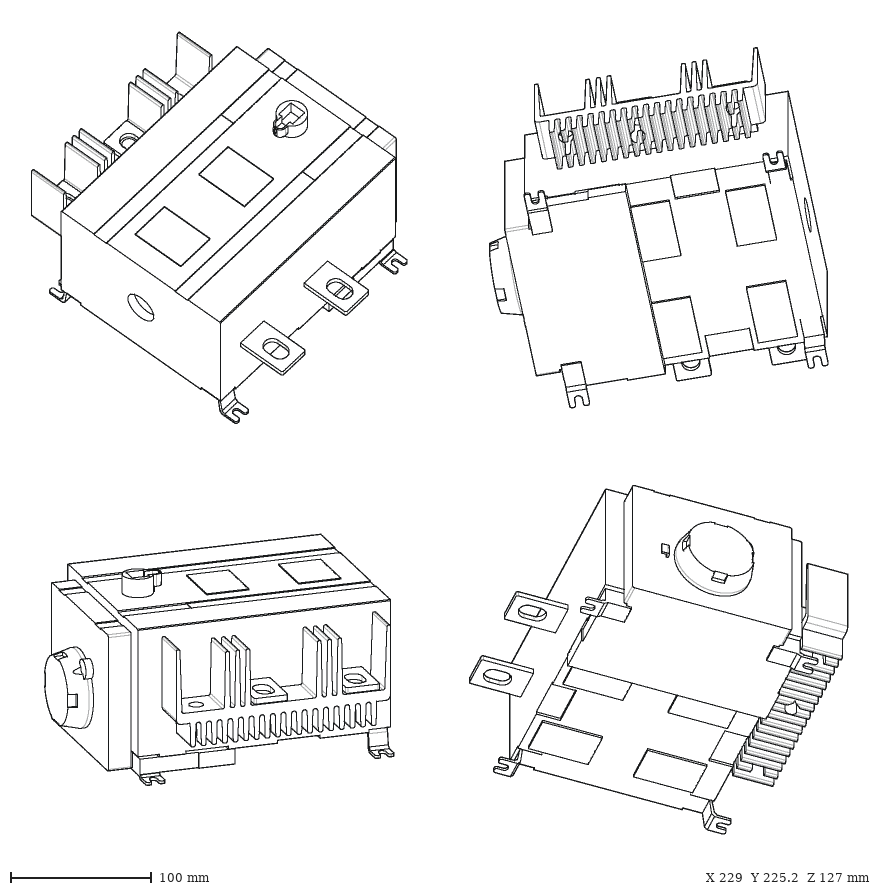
import cadquery as cq
import math


BODY_WIDTH = 149.2
BODY_LENGTH = 190.2
BODY_BOTTOM = 15.2
BODY_TOP = 113.2
BODY_EDGE_CHAMFER = 0.7
SHAFT_HOLE_DIAMETER = 24.2
SHAFT_HOLE_HEIGHT = 63.5
SHAFT_HOLE_DEPTH = 7.0

GROOVE_INNER_X = 32.2
GROOVE_OUTER_X = 44.0
GROOVE_DEPTH = 0.8
GROOVE_STEP_DEPTH = 0.3
GROOVE_STEP_Y = 138.3

PAD_WIDTH = 42.8
PAD_LENGTH = 31.8
PAD_HEIGHT = 0.8

HOUSING_WIDTH = 121.0
HOUSING_LENGTH = 17.2
HOUSING_BOTTOM = 3.6
HOUSING_TOP = 106.0
HOUSING_EDGE_RADIUS = 1.6
HOUSING_BACK = BODY_LENGTH + HOUSING_LENGTH

BASE_BOTTOM = HOUSING_BOTTOM
BASE_WIDTH = 148.0
BASE_FRONT = 117.2
BASE_BACK = 188.4
BASE_NECK_WIDTH = 116.0
WIDE_BASE_WIDTH = 150.6
WIDE_BASE_LENGTH = 27.2

NOTCH_SPANS = ((0, 16.2), (53.0, 85.0), (122.0, 154.0), (174.0, BODY_LENGTH))
NOTCH_HEIGHT = 2.2
NOTCH_DEPTH = 18.2
UNDER_PAD_SPANS = ((-56.6, -11.6), (22.8, 68.2))
UNDER_PAD_LENGTH = 28.5
UNDER_PAD_HEIGHT = 1.8

FOOT_TIP_X = 88.0
FOOT_WIDTH = 14.4
FOOT_THICKNESS = 2.2
FOOT_SLOT_WIDTH = 5.6
FOOT_SLOT_DEPTH = 8.8
FOOT_TIP_RADIUS = 1.8
FRONT_FOOT_Y = 8.9
REAR_FOOT_Y = 181.2
FRONT_FLANGE_X = 56.4
LEG_TOP_X = 73.2
LEG_BOTTOM_X = 74.8
LEG_BEND = 1.4
REAR_TAB_X = 54.0
REAR_TAB_THICKNESS = 1.7
REAR_BEND = 3.0

POLE_PITCH = 69.1
FRONT_POLE_Y = 34.5
POLE_POSITIONS = (FRONT_POLE_Y, FRONT_POLE_Y + POLE_PITCH)
BAR_TIP_X = 113.8
BAR_WIDTH = 25.4
BAR_THICKNESS = 4.3
BAR_CORNER_RADIUS = 1.4
BAR_BOTTOM = 61.2
BAR_SLOT_X = 97.0
BAR_SLOT_LENGTH = 20.4
BAR_SLOT_WIDTH = 13.0

SHROUD_OUTER_X = -115.2
SHROUD_DEPTH = 30.4
SHROUD_MIDDLE_Y = 95.0
SHROUD_LENGTH = 161.0
SHROUD_FLOOR_BOTTOM = 53.1
SHROUD_CORNER_RADIUS = 3.5
BOLT_HOLE_X = -100.4
BOLT_HOLE_DIAMETER = 10.4
REAR_BOLT_HOLE_Y = 155.5
WALL_TOP = 109.4
END_WALL_ROOT = 4.2
END_WALL_TIP = 2.6
END_WALL_TIP_RADIUS = 1.0
BARRIER_TOP = 104.0
BARRIER_ROOT = 4.5
BARRIER_TIP = 2.8
BARRIER_TIP_RADIUS = 1.3
BARRIER_PITCH = 7.7
BARRIERS_PER_GROUP = 3
BARRIER_GROUP_OFFSET = 25.8
WALL_ROOT_RADIUS = 1.5
RIB_COUNT = 18
RIB_PITCH = 8.0
RIB_ROOT = 4.4
RIB_TIP = 3.4
RIB_BOTTOM = 35.2
RIB_TIP_RADIUS = 1.3
RIB_ROOT_RADIUS = 1.7

KNOB_HEIGHT_Z = 46.8
KNOB_BACK = 225.2
KNOB_BASE_DIAMETER = 57.8
KNOB_FACE_DIAMETER = 50.6
KNOB_BASE_LENGTH = 3.2
KNOB_NOTCH_WIDTH = 9.8
KNOB_NOTCH_LENGTH = 6.6
KNOB_NOTCH_DEPTH = 1.6
KNOB_BOSS_DIAMETER = 14.4
KNOB_BOSS_LENGTH = 5.6
KNOB_BOSS_OFFSET = 30.4
KNOB_CLEARANCE_DIAMETER = 7.2

HOOK_FOOT_X = 33.6
HOOK_REACH = 6.0
HOOK_LENGTH = 4.2
HOOK_THICKNESS = 1.6
HOOK_WIDTH = 8.0

SOCKET_Y = 163.9
SOCKET_DIAMETER = 22.4
SOCKET_TOP = 127.0
SOCKET_SQUARE = 13.0
SOCKET_SQUARE_DEPTH = 11.0
POINTER_RADIUS = 5.0
POINTER_TIP_Y = 146.4
POINTER_BOTTOM = 118.0
POINTER_SLOT_WIDTH = 7.6
POINTER_SLOT_DEPTH = 8.0
POINTER_WALL = 1.2
POINTER_SLIT_WIDTH = 2.0
POINTER_RIB_WIDTH = 4.6
POINTER_RIB_REACH = 12.0


def block(x_span, y_span, z_span):
    """Box between the given limits along each axis."""
    size = [span[1] - span[0] for span in (x_span, y_span, z_span)]
    corner = (x_span[0], y_span[0], z_span[0])
    return cq.Workplane("XY").box(*size, centered=False).translate(corner)


def centered_span(middle, size):
    return (middle - size / 2, middle + size / 2)


def mirrored_pair(solid):
    """The solid together with its mirror image across the middle plane."""
    return solid.union(solid.mirror("YZ"))


def extrude_along_y(points, y_span):
    """Prism along Y with an outline given in X and Z."""
    plane = cq.Workplane("XZ", origin=(0, y_span[0], 0))
    return plane.polyline(points).close().extrude(y_span[0] - y_span[1])


def groove_pair(y_span, top, depth):
    """Cutter for the two shallow grooves in a top face at the given height."""
    return mirrored_pair(block((GROOVE_INNER_X, GROOVE_OUTER_X), y_span, (top - depth, top)))


def make_body():
    body = block(
        centered_span(0, BODY_WIDTH), (0, BODY_LENGTH), (BODY_BOTTOM, BODY_TOP)
    )
    body = body.faces(">Z").edges("|Y").chamfer(BODY_EDGE_CHAMFER)
    body = body.cut(groove_pair((0, GROOVE_STEP_Y), BODY_TOP, GROOVE_DEPTH))
    rear_depth = GROOVE_DEPTH + GROOVE_STEP_DEPTH
    body = body.cut(groove_pair((GROOVE_STEP_Y, BODY_LENGTH), BODY_TOP, rear_depth))
    shaft_hole = (
        cq.Workplane("XZ", origin=(0, 0, SHAFT_HOLE_HEIGHT))
        .circle(SHAFT_HOLE_DIAMETER / 2)
        .extrude(-SHAFT_HOLE_DEPTH)
    )
    body = body.cut(shaft_hole)
    side = BODY_WIDTH / 2
    for span in NOTCH_SPANS:
        notch = block(
            (side - NOTCH_DEPTH, side), span, (BODY_BOTTOM, BODY_BOTTOM + NOTCH_HEIGHT)
        )
        body = body.cut(mirrored_pair(notch))
    for pole_y in POLE_POSITIONS:
        body = body.union(make_pads(pole_y))
    return body


def make_pads(pole_y):
    """Label pad on the top and two flat pads underneath, all belonging to one pole."""
    pads = block(
        centered_span(0, PAD_WIDTH),
        centered_span(pole_y, PAD_LENGTH),
        (BODY_TOP, BODY_TOP + PAD_HEIGHT),
    )
    for span in UNDER_PAD_SPANS:
        under_pad = block(
            span,
            centered_span(pole_y, UNDER_PAD_LENGTH),
            (BODY_BOTTOM - UNDER_PAD_HEIGHT, BODY_BOTTOM),
        )
        pads = pads.union(under_pad)
    return pads


def make_housing():
    housing = block(
        centered_span(0, HOUSING_WIDTH),
        (BODY_LENGTH, HOUSING_BACK),
        (HOUSING_BOTTOM, HOUSING_TOP),
    )
    housing = housing.edges("|Y").fillet(HOUSING_EDGE_RADIUS)
    grooves = groove_pair((BODY_LENGTH, HOUSING_BACK), HOUSING_TOP, GROOVE_DEPTH)
    return housing.cut(grooves)


def make_base():
    heights = (BASE_BOTTOM, BODY_BOTTOM)
    base = block(centered_span(0, BASE_WIDTH), (BASE_FRONT, BASE_BACK), heights)
    base = base.union(
        block(centered_span(0, BASE_NECK_WIDTH), (BASE_FRONT, BODY_LENGTH), heights)
    )
    wide_span = (BASE_FRONT, BASE_FRONT + WIDE_BASE_LENGTH)
    return base.union(block(centered_span(0, WIDE_BASE_WIDTH), wide_span, heights))


def slotted_foot(profile, middle_y):
    """Bent strip on the +X side with an open slot in its tip."""
    foot = extrude_along_y(profile, centered_span(middle_y, FOOT_WIDTH))
    slot_radius = FOOT_SLOT_WIDTH / 2
    slot_end_x = FOOT_TIP_X - FOOT_SLOT_DEPTH + slot_radius
    slot = block(
        (slot_end_x, FOOT_TIP_X),
        centered_span(middle_y, FOOT_SLOT_WIDTH),
        (0, FOOT_THICKNESS),
    )
    slot_end = (
        cq.Workplane("XY")
        .center(slot_end_x, middle_y)
        .circle(slot_radius)
        .extrude(FOOT_THICKNESS)
    )
    foot = foot.cut(slot).cut(slot_end)
    return foot.faces(">X").edges("|Z").fillet(FOOT_TIP_RADIUS)


def make_front_feet():
    """Flange under the body, leaning leg and foot."""
    flange_top = BODY_BOTTOM + NOTCH_HEIGHT
    profile = [
        (FRONT_FLANGE_X, BODY_BOTTOM),
        (LEG_TOP_X - FOOT_THICKNESS, BODY_BOTTOM),
        (LEG_BOTTOM_X - FOOT_THICKNESS, FOOT_THICKNESS),
        (LEG_BOTTOM_X, 0),
        (FOOT_TIP_X, 0),
        (FOOT_TIP_X, FOOT_THICKNESS),
        (LEG_BOTTOM_X + FOOT_THICKNESS, FOOT_THICKNESS),
        (LEG_BOTTOM_X, FOOT_THICKNESS * 2),
        (LEG_TOP_X, BODY_BOTTOM - LEG_BEND),
        (LEG_TOP_X - LEG_BEND, flange_top),
        (FRONT_FLANGE_X, flange_top),
    ]
    return mirrored_pair(slotted_foot(profile, FRONT_FOOT_Y))


def make_rear_feet():
    """Cranked strip whose inner end lies flat under the base."""
    tab_bottom = BASE_BOTTOM - REAR_TAB_THICKNESS
    bend_x = LEG_BOTTOM_X - REAR_BEND
    profile = [
        (REAR_TAB_X, tab_bottom),
        (bend_x, tab_bottom),
        (LEG_BOTTOM_X, 0),
        (FOOT_TIP_X, 0),
        (FOOT_TIP_X, FOOT_THICKNESS),
        (LEG_BOTTOM_X + FOOT_THICKNESS, FOOT_THICKNESS),
        (LEG_BOTTOM_X, BASE_BOTTOM),
        (REAR_TAB_X, BASE_BOTTOM),
    ]
    return mirrored_pair(slotted_foot(profile, REAR_FOOT_Y))


def make_terminal_bars():
    """One slotted bar per pole, running right across the body."""
    bars = cq.Workplane("XY")
    for pole_y in POLE_POSITIONS:
        bar = (
            cq.Workplane("XY", origin=(0, pole_y, BAR_BOTTOM))
            .rect(2 * BAR_TIP_X, BAR_WIDTH)
            .extrude(BAR_THICKNESS)
            .faces(">Z")
            .workplane(origin=(0, pole_y, 0))
            .pushPoints([(-BAR_SLOT_X, 0), (BAR_SLOT_X, 0)])
            .slot2D(BAR_SLOT_LENGTH, BAR_SLOT_WIDTH)
            .cutThruAll()
            .edges("|Z and (<X or >X)")
            .fillet(BAR_CORNER_RADIUS)
        )
        bars = bars.add(bar)
    return bars.combine()


def tapered_wall(root_span, tip_span, root_z, tip_z):
    """Wall of the shroud that narrows from its root to its tip."""
    points = [
        (root_span[0], root_z),
        (root_span[1], root_z),
        (tip_span[1], tip_z),
        (tip_span[0], tip_z),
    ]
    plane = cq.Workplane("YZ", origin=(SHROUD_OUTER_X, 0, 0))
    return plane.polyline(points).close().extrude(SHROUD_DEPTH)


def root_edges(height, row_length):
    """Selector for the edges where walls or ribs meet the shroud floor at one height."""
    middle = (SHROUD_OUTER_X + SHROUD_DEPTH / 2, SHROUD_MIDDLE_Y, height)
    margin = 0.1
    reach = (margin, row_length / 2, margin)
    low_corner = tuple(center - half for center, half in zip(middle, reach))
    high_corner = tuple(center + half for center, half in zip(middle, reach))
    return cq.selectors.BoxSelector(low_corner, high_corner)


def make_shroud():
    shroud = block(
        (SHROUD_OUTER_X, SHROUD_OUTER_X + SHROUD_DEPTH),
        centered_span(SHROUD_MIDDLE_Y, SHROUD_LENGTH),
        (SHROUD_FLOOR_BOTTOM, BAR_BOTTOM),
    )
    shroud = shroud.faces("<Z").edges("|X").fillet(SHROUD_CORNER_RADIUS)

    front = SHROUD_MIDDLE_Y - SHROUD_LENGTH / 2
    end_wall = tapered_wall(
        (front, front + END_WALL_ROOT),
        (front, front + END_WALL_TIP),
        BAR_BOTTOM,
        WALL_TOP,
    )
    end_wall = end_wall.faces(">Z").edges("|X").fillet(END_WALL_TIP_RADIUS)
    opposite_wall = end_wall.mirror("XZ", (0, SHROUD_MIDDLE_Y, 0))
    shroud = shroud.union(end_wall).union(opposite_wall)

    middle_barrier = (BARRIERS_PER_GROUP - 1) / 2
    for pole_y in POLE_POSITIONS:
        for index in range(BARRIERS_PER_GROUP):
            barrier_y = (
                pole_y + BARRIER_GROUP_OFFSET + (index - middle_barrier) * BARRIER_PITCH
            )
            barrier = tapered_wall(
                centered_span(barrier_y, BARRIER_ROOT),
                centered_span(barrier_y, BARRIER_TIP),
                BAR_BOTTOM,
                BARRIER_TOP,
            )
            shroud = shroud.union(barrier.faces(">Z").edges("|X").fillet(BARRIER_TIP_RADIUS))

    for index in range(RIB_COUNT):
        rib_y = SHROUD_MIDDLE_Y + (index - (RIB_COUNT - 1) / 2) * RIB_PITCH
        rib = tapered_wall(
            centered_span(rib_y, RIB_ROOT),
            centered_span(rib_y, RIB_TIP),
            SHROUD_FLOOR_BOTTOM,
            RIB_BOTTOM,
        )
        shroud = shroud.union(rib.faces("<Z").edges("|X").fillet(RIB_TIP_RADIUS))

    wall_row_length = SHROUD_LENGTH - END_WALL_ROOT
    shroud = shroud.edges(root_edges(BAR_BOTTOM, wall_row_length)).fillet(WALL_ROOT_RADIUS)
    rib_row_length = (RIB_COUNT - 1) * RIB_PITCH
    shroud = shroud.edges(root_edges(SHROUD_FLOOR_BOTTOM, rib_row_length)).fillet(RIB_ROOT_RADIUS)

    bolt_holes = (
        cq.Workplane("XY", origin=(BOLT_HOLE_X, 0, RIB_BOTTOM))
        .pushPoints([(0, hole_y) for hole_y in (*POLE_POSITIONS, REAR_BOLT_HOLE_Y)])
        .circle(BOLT_HOLE_DIAMETER / 2)
        .extrude(BAR_BOTTOM - RIB_BOTTOM)
    )
    return shroud.cut(bolt_holes)


def make_knob():
    base_radius = KNOB_BASE_DIAMETER / 2
    face_radius = KNOB_FACE_DIAMETER / 2
    cone_start = HOUSING_BACK + KNOB_BASE_LENGTH
    half_section = [
        (0, HOUSING_BACK),
        (base_radius, HOUSING_BACK),
        (base_radius, cone_start),
        (face_radius, KNOB_BACK),
        (0, KNOB_BACK),
    ]
    knob = (
        cq.Workplane("XY", origin=(0, 0, KNOB_HEIGHT_Z))
        .polyline(half_section)
        .close()
        .revolve(360, (0, 0, 0), (0, 1, 0))
    )
    notch = block(
        centered_span(0, KNOB_NOTCH_WIDTH),
        (KNOB_BACK - KNOB_NOTCH_LENGTH, KNOB_BACK),
        (KNOB_HEIGHT_Z + face_radius - KNOB_NOTCH_DEPTH, KNOB_HEIGHT_Z + base_radius),
    )
    axis_start = (0, 0, KNOB_HEIGHT_Z)
    axis_end = (0, 1, KNOB_HEIGHT_Z)
    for angle in (0, 90, 180, 270):
        knob = knob.cut(notch.rotate(axis_start, axis_end, angle))
    boss_shift = KNOB_BOSS_OFFSET * math.sqrt(0.5)
    boss_plane = cq.Workplane(
        "XZ", origin=(-boss_shift, HOUSING_BACK, KNOB_HEIGHT_Z + boss_shift)
    )
    clearance = boss_plane.circle(KNOB_CLEARANCE_DIAMETER / 2).extrude(HOUSING_BACK - KNOB_BACK)
    boss = boss_plane.circle(KNOB_BOSS_DIAMETER / 2).extrude(-KNOB_BOSS_LENGTH)
    return knob.cut(clearance).union(boss)


def make_hook():
    """L-shaped hook standing on the back of the housing."""
    z_span = centered_span(KNOB_HEIGHT_Z, HOOK_WIDTH)
    tip_y = HOUSING_BACK + HOOK_LENGTH
    stem = block((HOOK_FOOT_X, HOOK_FOOT_X + HOOK_THICKNESS), (HOUSING_BACK, tip_y), z_span)
    lip = block(
        (HOOK_FOOT_X, HOOK_FOOT_X + HOOK_REACH), (tip_y - HOOK_THICKNESS, tip_y), z_span
    )
    hook = stem.union(lip)
    return hook.edges("|Z and <X and >Y").fillet(HOOK_THICKNESS)


def pointer_outline(half_width, start_z, height, tip_y):
    """Finger from the socket axis toward the front, ending in a half circle."""
    round_y = tip_y + half_width
    return (
        cq.Workplane("XY", origin=(0, 0, start_z))
        .moveTo(-half_width, SOCKET_Y)
        .lineTo(-half_width, round_y)
        .threePointArc((0, tip_y), (half_width, round_y))
        .lineTo(half_width, SOCKET_Y)
        .close()
        .extrude(height)
    )


def make_socket():
    socket = (
        cq.Workplane("XY", origin=(0, SOCKET_Y, BODY_TOP))
        .circle(SOCKET_DIAMETER / 2)
        .extrude(SOCKET_TOP - BODY_TOP)
    )
    pointer_height = SOCKET_TOP - POINTER_BOTTOM
    socket = socket.union(
        pointer_outline(POINTER_RADIUS, POINTER_BOTTOM, pointer_height, POINTER_TIP_Y)
    )
    rib = block(
        centered_span(0, POINTER_RIB_WIDTH),
        (SOCKET_Y - POINTER_RIB_REACH, SOCKET_Y),
        (BODY_TOP, POINTER_BOTTOM),
    )
    socket = socket.union(rib)
    square_hole = block(
        centered_span(0, SOCKET_SQUARE),
        centered_span(SOCKET_Y, SOCKET_SQUARE),
        (SOCKET_TOP - SOCKET_SQUARE_DEPTH, SOCKET_TOP),
    )
    slot = pointer_outline(
        POINTER_SLOT_WIDTH / 2,
        SOCKET_TOP - POINTER_SLOT_DEPTH,
        POINTER_SLOT_DEPTH,
        POINTER_TIP_Y + POINTER_WALL,
    )
    slit = block(
        centered_span(0, POINTER_SLIT_WIDTH),
        (POINTER_TIP_Y, SOCKET_Y),
        (SOCKET_TOP - POINTER_SLOT_DEPTH, SOCKET_TOP),
    )
    return socket.cut(square_hole).cut(slot).cut(slit)


result = (
    make_body()
    .union(make_base())
    .union(make_housing())
    .union(make_front_feet())
    .union(make_rear_feet())
    .union(make_terminal_bars())
    .union(make_shroud())
    .union(make_knob())
    .union(make_hook())
    .union(make_socket())
)